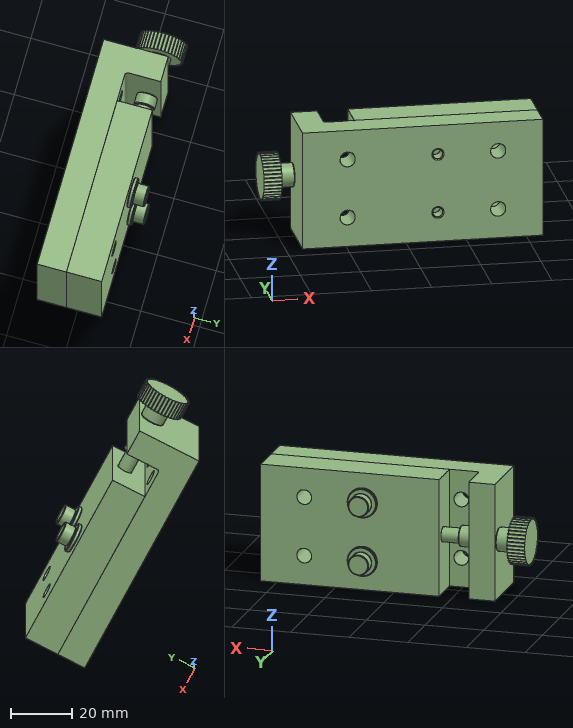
import cadquery as cq


base_length = 80.0
height = 40.0
plate_thickness = 10.0
slider_thickness = 12.0
total_depth = plate_thickness + slider_thickness
wall_thickness = 8.9
corner_radius = 1.0
slider_length = 61.0
slider_start = base_length - slider_length

row_heights = (-height / 4, height / 4)
mount_diameter = 5.0
first_mount_x = 15.0
mount_spacing = 50.05
mount_columns = (first_mount_x, first_mount_x + mount_spacing)
clamp_x = 45.0

clamp_diameter = 3.3
clamp_countersink_diameter = 4.0
clamp_tip_depth = 5.0
flange_diameter = 10.0
flange_thickness = 1.5
clamp_head_diameter = 7.0
clamp_head_height = 4.0
edge_chamfer = 0.3

spindle_y = 17.5
rod_diameter = 5.0
rod_engagement = 10.0
neck_diameter = 8.0
neck_length = 5.0
collar_diameter = 7.0
collar_length = 4.0
knob_diameter = 16.0
knob_length = 6.0
groove_count = 40
groove_radius = 0.5


def cylinder_x(start, length, diameter):
    """Cylinder on the spindle axis, running in +X from start."""
    return (
        cq.Workplane("YZ", origin=(start, spindle_y, 0))
        .circle(diameter / 2)
        .extrude(length)
    )


def cylinder_y(x, z, start, length, diameter):
    """Cylinder parallel to Y, running in +Y from start."""
    return (
        cq.Workplane("XZ", origin=(x, start, z))
        .circle(diameter / 2)
        .extrude(-length)
    )


def cut_mount_holes(body, columns):
    for x in columns:
        for z in row_heights:
            body = body.cut(cylinder_y(x, z, 0, total_depth, mount_diameter))
    return body


def cut_clamp_holes(body):
    for z in row_heights:
        body = body.cut(cylinder_y(clamp_x, z, 0, total_depth, clamp_diameter))
    return body


def clamp_countersink(z):
    """45-degree cone that flares a threaded hole at the front face of the base."""
    mouth_radius = clamp_countersink_diameter / 2
    return cq.Workplane("XY").add(
        cq.Solid.makeCone(
            mouth_radius, 0, mouth_radius, pnt=cq.Vector(clamp_x, 0, z), dir=cq.Vector(0, 1, 0)
        )
    )


def make_base():
    plate = cq.Workplane("XY").box(
        base_length, plate_thickness, height, centered=(False, False, True)
    )
    wall = cq.Workplane("XY").box(
        wall_thickness, total_depth, height, centered=(False, False, True)
    )
    inner_corner = cq.selectors.NearestToPointSelector((wall_thickness, plate_thickness, 0))
    base = plate.union(wall).edges("|Z").edges(inner_corner).fillet(corner_radius)
    base = cut_mount_holes(base, mount_columns)
    base = cut_clamp_holes(base)
    for z in row_heights:
        base = base.cut(clamp_countersink(z))
    return base.cut(cylinder_x(0, wall_thickness, rod_diameter))


def make_slider():
    slider = cq.Workplane("XY").box(
        slider_length, slider_thickness, height, centered=(False, False, True)
    ).translate((slider_start, plate_thickness, 0))
    slider = cut_mount_holes(slider, mount_columns[1:])
    slider = cut_clamp_holes(slider)
    return slider.cut(cylinder_x(slider_start, rod_engagement, rod_diameter))


def make_clamp_screw(z):
    head_start = total_depth + flange_thickness
    shank_length = total_depth - clamp_tip_depth
    shank = cylinder_y(clamp_x, z, clamp_tip_depth, shank_length, clamp_diameter)
    flange = (
        cylinder_y(clamp_x, z, total_depth, flange_thickness, flange_diameter)
        .faces("<Y or >Y")
        .chamfer(edge_chamfer)
    )
    head = (
        cylinder_y(clamp_x, z, head_start, clamp_head_height, clamp_head_diameter)
        .faces("<Y or >Y")
        .chamfer(edge_chamfer)
    )
    return shank.union(flange).union(head)


def make_knob():
    """Knob with straight round-bottomed grooves; one groove is centred on each main axis."""
    start = -neck_length - knob_length
    grooves = (
        cq.Workplane("YZ", origin=(start, spindle_y, 0))
        .polarArray(knob_diameter / 2, 0, 360, groove_count)
        .circle(groove_radius)
        .extrude(knob_length)
    )
    return cylinder_x(start, knob_length, knob_diameter).cut(grooves)


def make_spindle():
    neck = cylinder_x(-neck_length, neck_length, neck_diameter).faces(">X").chamfer(edge_chamfer)
    collar = (
        cylinder_x(wall_thickness, collar_length, collar_diameter)
        .faces("<X or >X")
        .chamfer(edge_chamfer)
    )
    rod = cylinder_x(0, slider_start + rod_engagement, rod_diameter)
    return make_knob().union(neck).union(rod).union(collar)


base = make_base()
slider = make_slider()
spindle = make_spindle()
clamp_screws = [make_clamp_screw(z) for z in row_heights]

result = cq.Compound.makeCompound(
    [base.val(), slider.val(), spindle.val(), *[screw.val() for screw in clamp_screws]]
)